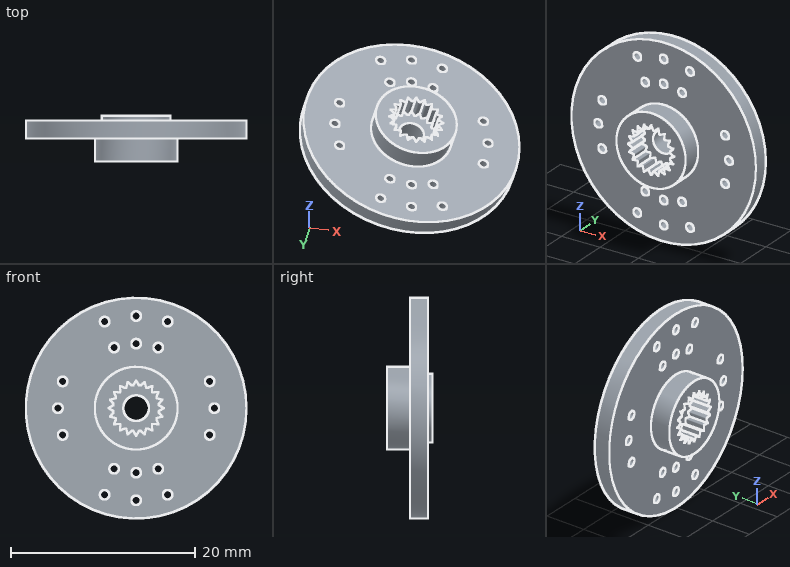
import cadquery as cq
import math

flange_diameter = 24.0
flange_thickness = 2.0
hub_diameter = 9.0
hub_length = 2.5
rear_boss_diameter = 7.5
rear_boss_height = 0.5
bore_diameter = 2.75

spline_tooth_count = 20
spline_tip_radius = 3.0
spline_flank_end_radius = 2.57
spline_crest_radius = 2.47
spline_crest_half_angle = 3.0
spline_depth = hub_length

hole_diameter = 1.0
hole_spread_angle = 20.0
outer_vertical_radius = 10.0
inner_vertical_radius = 7.0
side_radius = 8.5

hub_face_y = -hub_length
total_length = hub_length + flange_thickness + rear_boss_height


def polar(radius, angle):
    """Point at an angle in degrees from +X toward +Z."""
    radians = math.radians(angle)
    return (radius * math.cos(radians), radius * math.sin(radians))


def plane_at(y):
    """Plane with local axes +X and +Z, placed at the given Y; its normal points to -Y."""
    return cq.Workplane("XZ", origin=(0, y, 0))


def make_body():
    flange = plane_at(0).circle(flange_diameter / 2).extrude(-flange_thickness)
    hub = plane_at(0).circle(hub_diameter / 2).extrude(hub_length)
    rear_boss = plane_at(flange_thickness).circle(rear_boss_diameter / 2).extrude(-rear_boss_height)
    return flange.union(hub).union(rear_boss)


def make_spline_socket():
    """Star-shaped socket: pointed grooves with straight flanks, joined by rounded crests."""
    pitch = 360 / spline_tooth_count
    outline = plane_at(hub_face_y).moveTo(*polar(spline_tip_radius, 0))
    for tooth in range(spline_tooth_count):
        crest_angle = (tooth + 0.5) * pitch
        crest_start = polar(spline_flank_end_radius, crest_angle - spline_crest_half_angle)
        crest_top = polar(spline_crest_radius, crest_angle)
        crest_end = polar(spline_flank_end_radius, crest_angle + spline_crest_half_angle)
        outline = outline.lineTo(*crest_start).threePointArc(crest_top, crest_end)
        if tooth < spline_tooth_count - 1:
            outline = outline.lineTo(*polar(spline_tip_radius, (tooth + 1) * pitch))
    return outline.close().extrude(-spline_depth)


def make_bore():
    return plane_at(hub_face_y).circle(bore_diameter / 2).extrude(-total_length)


def make_mounting_holes():
    rows = [
        (outer_vertical_radius, 90),
        (inner_vertical_radius, 90),
        (side_radius, 0),
    ]
    centers = [
        polar(radius, middle_angle + opposite + offset)
        for radius, middle_angle in rows
        for opposite in (0, 180)
        for offset in (-hole_spread_angle, 0, hole_spread_angle)
    ]
    return plane_at(0).pushPoints(centers).circle(hole_diameter / 2).extrude(-flange_thickness)


result = (
    make_body()
    .cut(make_spline_socket())
    .cut(make_bore())
    .cut(make_mounting_holes())
)